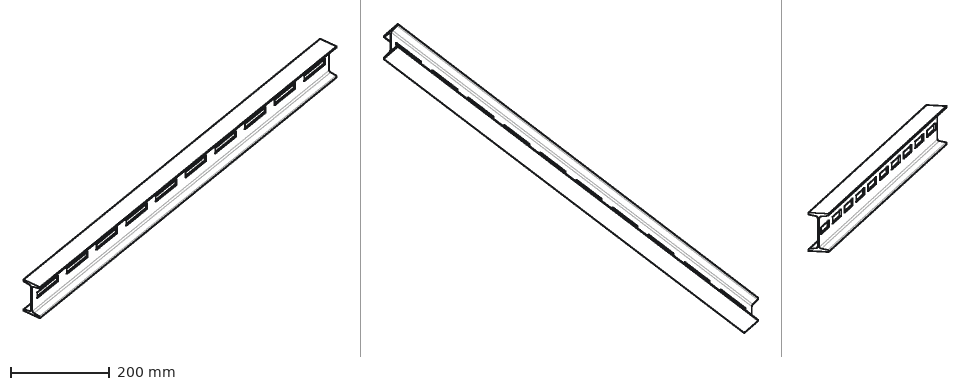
import cadquery as cq
import math

length = 1000.0
height = 80.0
flange_width = 42.0
web_thickness = 3.9
flange_thickness = 5.9
flange_slope = 0.14
root_radius = 3.9
toe_radius = 2.3

slot_count = 10
slot_length = 70.0
slot_height = 14.0
slot_row_shift = 1.5

slot_pitch = length / slot_count


def inner_face_height(x):
    """Height of the upper flange's sloped inner face at distance x from the beam axis."""
    gauge_x = flange_width / 4
    return height / 2 - flange_thickness + flange_slope * (x - gauge_x)


def quarter_section():
    """Quarter of the I profile in +X, +Z, with a root fillet and a rounded flange toe."""
    half_width = flange_width / 2
    half_web = web_thickness / 2
    slope_angle = math.atan(flange_slope)
    slope_sin = math.sin(slope_angle)
    slope_cos = math.cos(slope_angle)
    mid_angle = slope_angle / 2 + math.pi / 4
    mid_sin = math.sin(mid_angle)
    mid_cos = math.cos(mid_angle)

    root_x = half_web + root_radius
    root_z = inner_face_height(root_x) - root_radius / slope_cos
    root_start = (half_web, root_z)
    root_mid = (root_x - root_radius * mid_cos, root_z + root_radius * mid_sin)
    root_end = (root_x - root_radius * slope_sin, root_z + root_radius * slope_cos)

    toe_x = half_width - toe_radius
    toe_z = inner_face_height(toe_x) + toe_radius / slope_cos
    toe_start = (toe_x + toe_radius * slope_sin, toe_z - toe_radius * slope_cos)
    toe_mid = (toe_x + toe_radius * mid_cos, toe_z - toe_radius * mid_sin)
    toe_end = (half_width, toe_z)

    return (
        cq.Workplane("XZ")
        .moveTo(0, 0)
        .lineTo(half_web, 0)
        .lineTo(*root_start)
        .threePointArc(root_mid, root_end)
        .lineTo(*toe_start)
        .threePointArc(toe_mid, toe_end)
        .lineTo(half_width, height / 2)
        .lineTo(0, height / 2)
        .close()
    )


def beam():
    """Full-length beam: one quarter extruded and mirrored about both symmetry planes."""
    quarter = quarter_section().extrude(length / 2, both=True)
    half = quarter.union(quarter.mirror("YZ"))
    return half.union(half.mirror("XY")).clean()


def web_slots():
    """Cutters for an evenly pitched row of slots, slightly off the middle of the beam."""
    slot = cq.Workplane("XY").box(flange_width, slot_length, slot_height)
    first_y = slot_row_shift - (slot_count - 1) * slot_pitch / 2
    slots = cq.Workplane("XY")
    for index in range(slot_count):
        slots = slots.add(slot.translate((0, first_y + index * slot_pitch, 0)))
    return slots.combine()


result = beam().cut(web_slots())